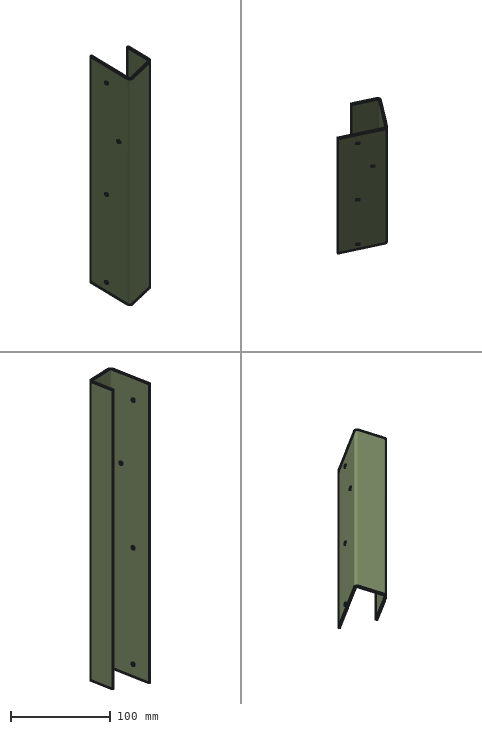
import cadquery as cq

length = 348
front_width = 51.0
back_width = 30.0
depth = 34.0
thickness = 1.6
inner_bend_radius = thickness
outer_bend_radius = inner_bend_radius + thickness

hole_diameter = 3.5
main_row_x = 20.5
offset_hole_x = 36.2
main_row_drops = (26.0, 198.0, 333.7)
offset_hole_drop = 105.0


def bent_channel():
    """Extrude the U profile with the free front edge at X = 0."""
    outer = cq.Workplane("XY").box(front_width, depth, length, centered=False)
    outer = outer.edges("|Z and >X").fillet(outer_bend_radius)

    inside = cq.Workplane("XY").box(
        front_width - thickness, depth - 2 * thickness, length, centered=False
    )
    inside = inside.edges("|Z and >X").fillet(inner_bend_radius)
    inside = inside.translate((0, thickness, 0))

    back_trim = cq.Workplane("XY").box(front_width - back_width, thickness, length, centered=False)
    back_trim = back_trim.translate((0, depth - thickness, 0))
    return outer.cut(inside).cut(back_trim)


def front_flange_holes():
    """Cylinders that pass through the front flange and stop inside the channel."""
    centers = [(main_row_x, length - drop) for drop in main_row_drops]
    centers.append((offset_hole_x, length - offset_hole_drop))
    return (
        cq.Workplane("XZ")
        .pushPoints(centers)
        .circle(hole_diameter / 2)
        .extrude(-2 * thickness)
    )


result = bent_channel().cut(front_flange_holes())